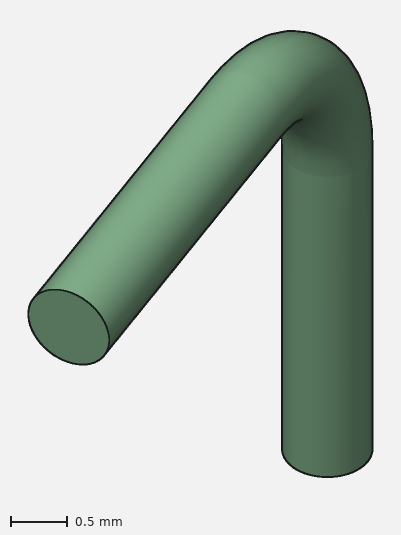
import cadquery as cq
import math

overall = 5.4
rod_diameter = 0.8
bend_radius = 1.6

rod_radius = rod_diameter / 2
leg_length = overall - rod_radius - bend_radius

leg_top = (0, leg_length)
bend_middle = (
    -bend_radius * (1 - math.cos(math.pi / 4)),
    leg_length + bend_radius * math.sin(math.pi / 4),
)
bend_end = (-bend_radius, leg_length + bend_radius)
rod_tip = (-bend_radius - leg_length, leg_length + bend_radius)

centreline = (
    cq.Workplane("YZ")
    .moveTo(0, 0)
    .lineTo(*leg_top)
    .threePointArc(bend_middle, bend_end)
    .lineTo(*rod_tip)
)

result = cq.Workplane("XY").circle(rod_radius).sweep(centreline)